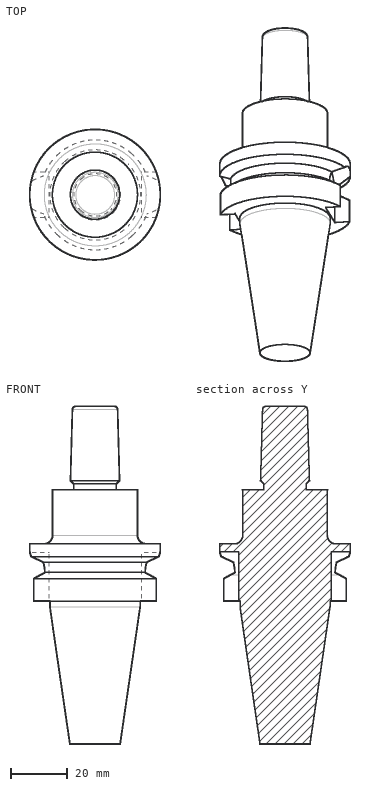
import cadquery as cq
import math

total_height = 118.8

taper_height = 48.4
taper_large_radius = 15.9
taper_ratio = 7 / 24
taper_small_radius = taper_large_radius - taper_height * taper_ratio / 2

flange_radius = 46.0 / 2
flange_bottom = 50.3
lower_rim_top = 58.2
groove_bottom = 60.4
groove_top = 63.9
upper_rim_bottom = 65.9
flange_top = 70.5
groove_radius = 19.4

boss_radius = 15.0
boss_top = 89.5
boss_fillet = 3.0

neck_radius = 7.5
neck_top = 91.5
spindle_bottom = 92.5
spindle_large_radius = 8.7
spindle_small_radius = 8.0
spindle_rounding = 1.2

slot_width = 16.0
slot_top = 67.5
slot_floor = 16.3


def turned_body():
    """Revolve the half profile about Z, with the boss fillet as an arc."""
    fillet_rise = boss_fillet * (1 - math.sqrt(0.5))
    profile = (
        cq.Workplane("XZ")
        .lineTo(taper_small_radius, 0)
        .lineTo(taper_large_radius, taper_height)
        .lineTo(taper_large_radius, flange_bottom)
        .lineTo(flange_radius, flange_bottom)
        .lineTo(flange_radius, lower_rim_top)
        .lineTo(groove_radius, groove_bottom)
        .lineTo(groove_radius, groove_top)
        .lineTo(flange_radius, upper_rim_bottom)
        .lineTo(flange_radius, flange_top)
        .lineTo(boss_radius + boss_fillet, flange_top)
        .threePointArc(
            (boss_radius + fillet_rise, flange_top + fillet_rise),
            (boss_radius, flange_top + boss_fillet),
        )
        .lineTo(boss_radius, boss_top)
        .lineTo(neck_radius, boss_top)
        .lineTo(neck_radius, neck_top)
        .lineTo(spindle_large_radius, spindle_bottom)
        .lineTo(spindle_small_radius, total_height)
        .lineTo(0, total_height)
        .close()
    )
    body = profile.revolve(360, (0, 0), (0, 1))
    return body.faces(">Z").edges().fillet(spindle_rounding)


def drive_slot(side):
    """Cutter for one slot, open at the bottom; side is -1 or 1 along X."""
    slot_radius = slot_width / 2
    round_center = slot_top - slot_radius
    depth = flange_radius - slot_floor
    return (
        cq.Workplane("YZ", origin=(side * slot_floor, 0, 0))
        .moveTo(-slot_radius, flange_bottom)
        .lineTo(slot_radius, flange_bottom)
        .lineTo(slot_radius, round_center)
        .threePointArc((0, slot_top), (-slot_radius, round_center))
        .close()
        .extrude(side * depth)
    )


result = turned_body()
for side in (-1, 1):
    result = result.cut(drive_slot(side))